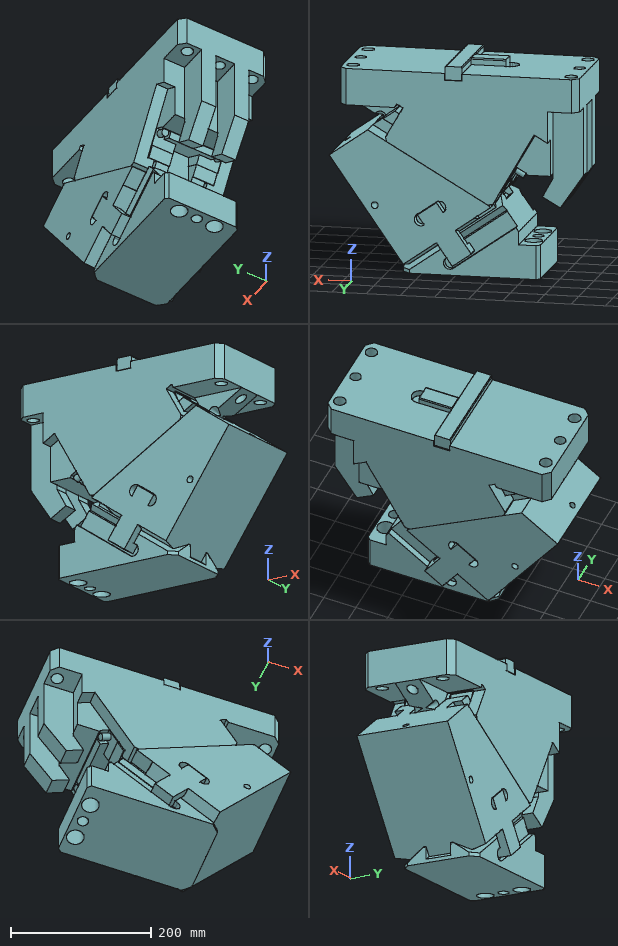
import cadquery as cq
import math

width = 150.0
overall_length = 364.66
holder_length = 350.0
overall_height = 309.0
key_rise = 10.0
plate_top = overall_height - key_rise
plate_bottom_rear = 250.0
plate_bottom_front = 245.3
plate_chamfer = 10.0
far = 500.0

guide_angle = math.radians(30.0)
base_angle = math.radians(35.0)

guide_face = 28.3
wedge_rear = 163.5
wedge_front = 345.0
wedge_chamfer = 5.0
rail_neck_height = 20.0
rail_head_height = 39.0
rail_rear = wedge_rear - 1.5
rail_neck_half = 41.0
rail_head_half = 55.0
slot_neck_half = 45.0
slot_head_half = 56.0
rib_half = 20.0
rib_clearance = 9.0
head_bottom = guide_face + rail_neck_height
head_top = guide_face + rail_head_height
rib_face = guide_face + rib_clearance

base_end_u = 34.0
base_half = 62.0
base_shoulder_v = 148.0
roof_angle = math.radians(30.0)
roof_top_v = 170.0
channel_floor_v = 154.4
slide_end_u = 200.7
slide_rear_u = 45.0
slide_bottom_v = 160.0
slide_corner_z = 170.9
slide_end_v = overall_length * math.sin(base_angle) + slide_corner_z * math.cos(base_angle)


def guide_point(s, w):
    """X, Z of a point given along and square to the holder guide."""
    c, n = math.cos(guide_angle), math.sin(guide_angle)
    return (c * s - n * w, n * s + c * w)


def base_point(u, v):
    """X, Z of a point given along and square to the base guide."""
    c, n = math.cos(base_angle), math.sin(base_angle)
    return (c * u + n * v, c * v - n * u)


def prism(points, y_low, y_high):
    """Extrude an X-Z outline between two Y positions."""
    sketch = cq.Workplane("XZ", origin=(0, y_low, 0)).polyline(points).close()
    return sketch.extrude(y_low - y_high)


def centred(points, half_width):
    return prism(points, -half_width, half_width)


def guide_box(s_low, s_high, w_low, w_high, half_width):
    corners = [(s_low, w_low), (s_high, w_low), (s_high, w_high), (s_low, w_high)]
    return centred([guide_point(s, w) for s, w in corners], half_width)


def base_rectangle(u_low, u_high, v_low, v_high):
    corners = [(u_low, v_low), (u_high, v_low), (u_high, v_high), (u_low, v_high)]
    return [base_point(u, v) for u, v in corners]


def base_section(points, u_low, u_high):
    """Extrude a Y-v section along the base guide."""
    x, z = base_point(u_low, 0)
    normal = (math.cos(base_angle), 0, -math.sin(base_angle))
    plane = cq.Plane(origin=(x, 0, z), xDir=(0, 1, 0), normal=normal)
    return cq.Workplane(plane).polyline(points).close().extrude(u_high - u_low)


def both_sides(solid):
    return solid.union(solid.mirror("XZ"))


def upright_hole(x, y, diameter):
    return cq.Workplane("XY", origin=(x, y, -far)).circle(diameter / 2).extrude(2 * far)


def pointed_hole(x, z, y_face, diameter):
    """Conical recess narrowing towards +Y from the face at y_face, as deep as it is wide."""
    cone = cq.Solid.makeCone(diameter / 2, 0, diameter, cq.Vector(x, y_face, z), cq.Vector(0, 1, 0))
    return cq.Workplane(cone)


def side_slot(u_low, u_high, v_low, v_high, y_low, y_high):
    """Round-ended slot along the base guide, cut along Y."""
    x, z = base_point((u_low + u_high) / 2, (v_low + v_high) / 2)
    plane = cq.Plane(
        origin=(x, y_low, z),
        xDir=(math.cos(base_angle), 0, -math.sin(base_angle)),
        normal=(0, 1, 0),
    )
    return cq.Workplane(plane).slot2D(u_high - u_low, v_high - v_low).extrude(y_high - y_low)


base_rear_x = 59.5
base_front_x = 261.5
base_ledge_x = 90.0
base_ledge_z = 50.0
base_rear_chamfer = 5.0
base_front_chamfer = 11.5
base_hole_x = 75.0
base_hole_pitch = 30.0
base_bolt_diameter = 25.0
base_dowel_diameter = 16.0

recess_wall = 52.3
recess_bottom_v = 115.3
recess_slot_top_v = 133.3
recess_end_u = 155.0
recess_open_u = 135.0
notch_bottom_v = 141.0
notch_root_v = 142.7
notch_root = 50.0
notch_top_v = 151.9
notch_top = 55.3


def make_base():
    slope_foot_z = (math.cos(base_angle) * base_ledge_x - base_end_u) / math.sin(base_angle)
    front_top_z = (roof_top_v - math.sin(base_angle) * base_front_x) / math.cos(base_angle)
    profile = [
        (base_rear_x, 0),
        (base_front_x, 0),
        (base_front_x, front_top_z),
        base_point(base_end_u, roof_top_v),
        (base_ledge_x, slope_foot_z),
        (base_ledge_x, base_ledge_z),
        (base_rear_x, base_ledge_z),
    ]
    body = centred(profile, base_half)
    body = body.edges("|Z and <X").chamfer(base_rear_chamfer)
    body = body.edges("|Z and >X").chamfer(base_front_chamfer)

    roof_half = base_half - (roof_top_v - base_shoulder_v) / math.tan(roof_angle)
    above_roof = base_section(
        [(base_half, base_shoulder_v), (base_half, far), (roof_half, far), (roof_half, roof_top_v)],
        -far,
        far,
    )
    channel = base_section(
        [(-rib_half, channel_floor_v), (rib_half, channel_floor_v), (rib_half, far), (-rib_half, far)],
        -far,
        far,
    )
    body = body.cut(both_sides(above_roof)).cut(channel)

    recess = side_slot(-far, recess_end_u, recess_bottom_v, recess_slot_top_v, recess_wall, base_half)
    notch = base_section(
        [
            (base_half, recess_slot_top_v),
            (recess_wall, recess_slot_top_v),
            (recess_wall, notch_bottom_v),
            (notch_root, notch_root_v),
            (notch_top, notch_top_v),
            (base_half, notch_top_v),
        ],
        0,
        recess_open_u,
    )
    body = body.cut(both_sides(recess.union(notch)))

    for y in (-base_hole_pitch, base_hole_pitch):
        body = body.cut(upright_hole(base_hole_x, y, base_bolt_diameter))
    return body.cut(upright_hole(base_hole_x, 0, base_dowel_diameter))


slide_inner_half = 52.0
flare_start_u = 74.6
keeper_u = (107.5, 141.4)
keeper_bottom_v = 119.2
pocket_u = (98.5, 150.5)
pocket_v = (191.0, 209.0)
pocket_depth = 13.0
pocket_gap = 0.8
side_hole_at = (297.7, 100.6)
side_hole_diameter = 10.0
end_hole_diameter = 9.0
end_hole_depth = 20.0
end_hole_inset = 13.0


def make_slide(base):
    half = width / 2
    bounds = centred(base_rectangle(slide_rear_u, slide_end_u, channel_floor_v, slide_end_v), half)
    body = bounds.intersect(guide_box(0, far, -far, guide_face, half))

    neck = guide_box(wedge_rear, far, 0, head_bottom, rail_neck_half)
    neck_foot = centred(
        base_rectangle(base_end_u, slide_end_u, channel_floor_v, slide_bottom_v), rail_neck_half
    )
    neck = neck.union(neck_foot.intersect(guide_box(0, far, 0, head_bottom, half)))
    head = guide_box(rail_rear, far, head_bottom, head_top, rail_head_half)
    gap = guide_box(0, far, guide_face, far, rib_half)
    end_limit = centred(base_rectangle(0, slide_end_u, channel_floor_v, slide_end_v), half)
    body = body.union(neck.union(head).intersect(end_limit).cut(gap))

    flare = base_section(
        [(slide_inner_half, channel_floor_v), (half, slide_bottom_v), (half, 0), (slide_inner_half, 0)],
        -far,
        far,
    )
    rear_step = prism(
        base_rectangle(slide_rear_u, flare_start_u, channel_floor_v, slide_bottom_v), slide_inner_half, half
    )
    body = body.cut(both_sides(flare.union(rear_step)))

    keeper = prism(base_rectangle(*keeper_u, keeper_bottom_v, pocket_v[0]), base_half, half)
    hook = prism(base_rectangle(*keeper_u, keeper_bottom_v, recess_slot_top_v), recess_wall, base_half)
    body = body.union(both_sides(keeper.union(hook)))

    pocket = side_slot(*pocket_u, *pocket_v, half - pocket_depth, half)
    filling = prism(base_rectangle(*keeper_u, 0, pocket_v[1] - pocket_gap), 0, half)
    body = body.cut(both_sides(pocket.cut(filling)))

    body = body.cut(both_sides(pointed_hole(*side_hole_at, -half, side_hole_diameter)))
    x, z = base_point(slide_end_u - end_hole_inset, slide_end_v)
    normal = (-math.sin(base_angle), 0, -math.cos(base_angle))
    end_plane = cq.Plane(origin=(x, 0, z), xDir=(0, 1, 0), normal=normal)
    body = body.cut(cq.Workplane(end_plane).circle(end_hole_diameter / 2).extrude(end_hole_depth))
    return body.cut(base)


block_rear_x = 45.0
block_bottom_z = 151.0
block_corner_x = 78.7
leg_inner = 16.0
leg_outer = 40.0
leg_outline = [
    (0, plate_bottom_rear),
    (0, block_bottom_z),
    (34.1, 101.7),
    (60.6, 116.7),
    (block_rear_x, 144.7),
    (block_rear_x, plate_bottom_rear),
]
wedge_top_w = 154.2
tab_rear = 147.0
tab_bottom = guide_face + 54.0
tab_top = guide_face + 65.0
pin_y = 48.0
pin_root = 5.0
rib_rear_x = 128.0
rib_hole_at = (301.8, 217.3)
rib_hole_diameter = 17.0
gap_front = 355.4
gap_lip = 348.7
gap_top = 84.0
rear_holes = {"x": 14.5, "pitch": 55.0, "diameter": 17.5}
front_holes = {"x": 334.8, "pitch": 50.0, "diameter": 18.0}
dowel_diameter = 16.0

key_width = 25.0
key_length = 146.0
key_rear_x = 170.5
short_key_rear_x = 119.5
keyway_end_x = 102.8
key_edge = (1.0, 2.0)
keyway_depth = 10.0


def bevelled_bar(length, bottom):
    """Bar along Y with bevelled long top edges, centred on the Z axis."""
    half = key_width / 2
    inset, drop = key_edge
    outline = [
        (-half, bottom),
        (half, bottom),
        (half, overall_height - drop),
        (half - inset, overall_height),
        (inset - half, overall_height),
        (-half, overall_height - drop),
    ]
    return centred(outline, length / 2)


def make_holder():
    half = width / 2
    rear_overhang_z = (wedge_top_w + math.sin(guide_angle) * block_rear_x) / math.cos(guide_angle)
    gap_roof_x, gap_roof_z = guide_point(wedge_front, gap_top)

    plate = cq.Workplane("XY").box(
        holder_length, width, plate_top - plate_bottom_front, centered=(False, True, False)
    )
    plate = plate.translate((0, 0, plate_bottom_front)).edges("|Z").chamfer(plate_chamfer)
    plate = plate.cut(
        cq.Workplane("XY").box(block_rear_x, width, plate_bottom_rear, centered=(False, True, False))
    )
    wedge = [
        (block_rear_x, plate_top),
        (block_rear_x, rear_overhang_z),
        guide_point(wedge_rear, wedge_top_w),
        guide_point(wedge_rear, guide_face + wedge_chamfer),
        guide_point(wedge_rear + wedge_chamfer, guide_face),
        guide_point(wedge_front - wedge_chamfer, guide_face),
        guide_point(wedge_front, guide_face + wedge_chamfer),
        (gap_roof_x, gap_roof_z),
        (gap_roof_x, plate_top),
    ]
    body = plate.union(centred(wedge, half))

    block = [
        (block_rear_x, plate_bottom_rear),
        (block_rear_x, block_bottom_z),
        (block_corner_x, block_bottom_z),
        guide_point(tab_rear, tab_top),
        guide_point(rail_rear, tab_top),
        guide_point(rail_rear, head_top),
        guide_point(wedge_front, head_top),
        (gap_roof_x, plate_bottom_rear),
    ]
    body = body.union(centred(block, slot_head_half))

    body = body.union(guide_box(tab_rear, rail_rear, tab_bottom, tab_top, leg_outer))
    pin_x, pin_z = guide_point(tab_rear, (tab_bottom + tab_top) / 2)
    pin = cq.Solid.makeCylinder(
        (tab_top - tab_bottom) / 2,
        wedge_rear - tab_rear + pin_root,
        cq.Vector(pin_x, pin_y, pin_z),
        cq.Vector(math.cos(guide_angle), 0, math.sin(guide_angle)),
    )
    body = body.union(both_sides(cq.Workplane(pin)))

    below_plate = cq.Workplane("XY").box(far, width, plate_bottom_front, centered=(False, True, False))
    slot = guide_box(0, far, guide_face, head_bottom, slot_neck_half)
    slot = slot.union(guide_box(0, far, head_bottom, head_top, slot_head_half))
    body = body.cut(slot.intersect(below_plate))

    rear_pocket = guide_box(rail_rear, far, guide_face, tab_bottom, rib_half).intersect(below_plate)
    rib = guide_box(0, far, rib_face, far, rib_half)
    rib_space = cq.Workplane("XY").box(
        holder_length - rib_rear_x, width, plate_bottom_front, centered=(False, True, False)
    )
    rib = rib.intersect(rib_space.translate((rib_rear_x, 0, 0)))
    body = body.cut(rear_pocket).union(rib)
    body = body.cut(both_sides(pointed_hole(*rib_hole_at, -rib_half, rib_hole_diameter)))

    relief = guide_box(gap_lip, gap_front, guide_face, gap_top, half)
    outer_relief = guide_box(wedge_front, gap_front, guide_face, gap_top, half)
    outer_relief = outer_relief.cut(guide_box(0, far, 0, far, slot_head_half))
    body = body.cut(relief).cut(outer_relief)

    body = body.union(both_sides(prism(leg_outline, leg_inner, leg_outer)))

    for row in (rear_holes, front_holes):
        for y in (-row["pitch"], row["pitch"]):
            body = body.cut(upright_hole(row["x"], y, row["diameter"]))
        body = body.cut(upright_hole(row["x"], 0, dowel_diameter))

    key_x = key_rear_x + key_width / 2
    keyway_length = 2 * (key_x - keyway_end_x)
    keyways = cq.Workplane("XY", origin=(key_x, 0, plate_top - keyway_depth))
    short_keyway = keyways.slot2D(keyway_length, key_width).extrude(keyway_depth)
    short_keyway = short_keyway.intersect(cq.Workplane("XY").box(2 * key_x, width, far * 2))
    cross_keyway = keyways.rect(key_width, width).extrude(keyway_depth)
    body = body.cut(short_keyway).cut(cross_keyway)
    cross_key = bevelled_bar(key_length, plate_top - keyway_depth).translate((key_x, 0, 0))
    short_length = key_rear_x - short_key_rear_x
    short_key = bevelled_bar(short_length, plate_top - keyway_depth).rotate((0, 0, 0), (0, 0, 1), 90)
    short_key = short_key.translate((short_key_rear_x + short_length / 2, 0, 0))
    return body.union(cross_key).union(short_key)


base = make_base()
slide = make_slide(base)
holder = make_holder()

result = cq.Compound.makeCompound([holder.val(), slide.val(), base.val()])